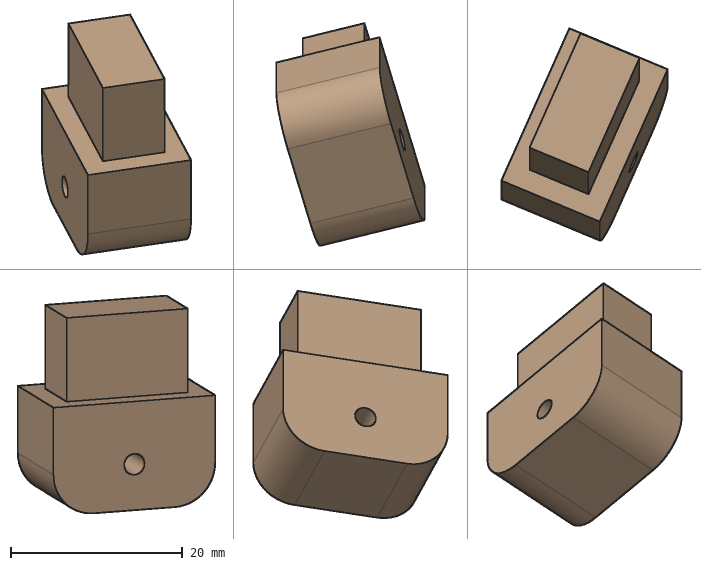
import cadquery as cq

width = 20.0
depth = 12.5
height = 23.0

plug_inset = 2.5
plug_height = 10.0

corner_radius = 5.0
hole_diameter = 2.5
hole_height = 5.5

body_height = height - plug_height

body = (
    cq.Workplane("XY")
    .box(width, depth, body_height, centered=(True, True, False))
    .edges("|Y and <Z")
    .fillet(corner_radius)
)

plug = (
    cq.Workplane("XY")
    .workplane(offset=body_height)
    .rect(width - 2 * plug_inset, depth - 2 * plug_inset)
    .extrude(plug_height)
)

cross_hole = (
    cq.Workplane("XZ")
    .center(0, hole_height)
    .circle(hole_diameter / 2)
    .extrude(depth / 2, both=True)
)

result = body.union(plug).cut(cross_hole)